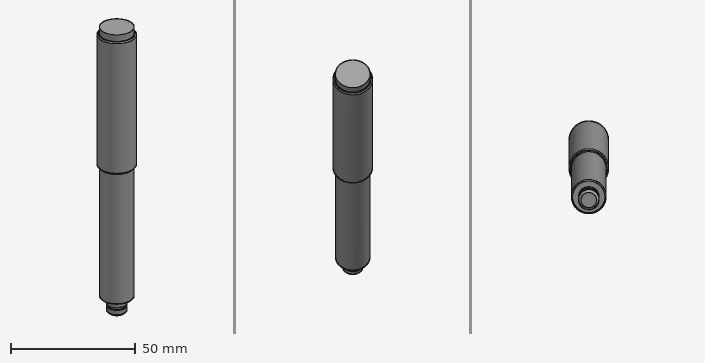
import cadquery as cq

TOTAL_LENGTH = 130.0
CAP_HEIGHT = 3.0
SLEEVE_LENGTH = 60.0
STEM_LENGTH = 7.0

SLEEVE_DIAMETER = 16.0
TUBE_DIAMETER = 14.0
EDGE_CHAMFER = 0.5

STEM_DIAMETER = 8.3
STEM_TIP_CHAMFER = 1.0
GROOVE_DIAMETER = 7.0
GROOVE_WIDTH = 1.2
GROOVE_BOTTOM_Z = 3.0

SLEEVE_TOP_Z = TOTAL_LENGTH - CAP_HEIGHT
SLEEVE_BOTTOM_Z = SLEEVE_TOP_Z - SLEEVE_LENGTH
TUBE_LENGTH = SLEEVE_BOTTOM_Z - STEM_LENGTH


def cylinder(diameter, bottom_z, length):
    """Upright cylinder on the common axis."""
    return cq.Workplane("XY").workplane(offset=bottom_z).circle(diameter / 2).extrude(length)


def make_cap():
    """Plain disc resting on the top of the sleeve."""
    return cylinder(TUBE_DIAMETER, SLEEVE_TOP_Z, CAP_HEIGHT)


def make_sleeve():
    """Wide upper cylinder, chamfered at both ends."""
    sleeve = cylinder(SLEEVE_DIAMETER, SLEEVE_BOTTOM_Z, SLEEVE_LENGTH)
    return sleeve.faces("<Z or >Z").edges().chamfer(EDGE_CHAMFER)


def make_stem():
    """Narrow end of the tube, with a chamfered tip and a retaining groove."""
    stem = cylinder(STEM_DIAMETER, 0, STEM_LENGTH).faces("<Z").edges().chamfer(STEM_TIP_CHAMFER)
    groove = cylinder(STEM_DIAMETER, GROOVE_BOTTOM_Z, GROOVE_WIDTH).cut(
        cylinder(GROOVE_DIAMETER, GROOVE_BOTTOM_Z, GROOVE_WIDTH)
    )
    return stem.cut(groove)


def make_tube():
    """Lower cylinder, chamfered at both ends, in one piece with its stem."""
    tube = cylinder(TUBE_DIAMETER, STEM_LENGTH, TUBE_LENGTH)
    tube = tube.faces("<Z or >Z").edges().chamfer(EDGE_CHAMFER)
    return tube.union(make_stem())


cap = make_cap()
sleeve = make_sleeve()
tube = make_tube()

result = cq.Compound.makeCompound([cap.val(), sleeve.val(), tube.val()])